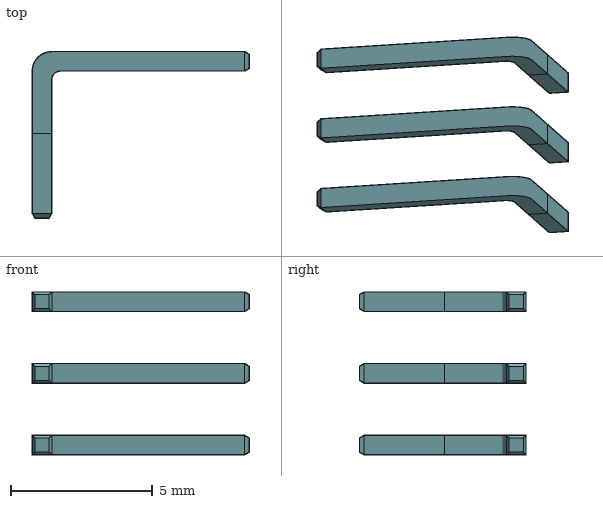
import cadquery as cq
import math

PIN_COUNT = 3
PITCH = 2.54
PIN_WIDTH = 0.7

REACH_X = 7.7
REACH_Y = 5.91
BENT_LEG_Y = 2.9

OUTER_RADIUS = 0.7
INNER_RADIUS = 0.3

TAPER_INSET = 0.1
TAPER_ANGLE = 30
TAPER_LENGTH = TAPER_INSET / math.tan(math.radians(TAPER_ANGLE))

LONG_ARM_X = REACH_X - TAPER_LENGTH
TIP_BAR_LENGTH = REACH_Y - BENT_LEG_Y - TAPER_LENGTH


def add_tapered_end(pin, end_face):
    """Continue a pin's square end face as a short truncated pyramid."""
    return (
        pin.faces(end_face)
        .workplane(centerOption="CenterOfMass")
        .rect(PIN_WIDTH, PIN_WIDTH)
        .extrude(TAPER_LENGTH, taper=TAPER_ANGLE)
    )


def round_corner(leg, x, y, radius):
    """Fillet the vertical edge of the leg that stands at (x, y)."""
    mid_height = leg.val().Center().z
    corner = cq.selectors.NearestToPointSelector((x, y, mid_height))
    return leg.edges(corner).fillet(radius)


def make_bent_leg(z_bottom):
    """L-shaped leg: outer corner on the Z axis, long arm along +X, short arm along -Y."""
    leg = (
        cq.Workplane("XY", origin=(0, 0, z_bottom))
        .polyline([
            (0, 0),
            (LONG_ARM_X, 0),
            (LONG_ARM_X, -PIN_WIDTH),
            (PIN_WIDTH, -PIN_WIDTH),
            (PIN_WIDTH, -BENT_LEG_Y),
            (0, -BENT_LEG_Y),
        ])
        .close()
        .extrude(PIN_WIDTH)
    )
    leg = round_corner(leg, 0, 0, OUTER_RADIUS)
    leg = round_corner(leg, PIN_WIDTH, -PIN_WIDTH, INNER_RADIUS)
    return add_tapered_end(leg, ">X")


def make_tip(z_bottom):
    """Straight bar that carries the short arm on along -Y."""
    tip = (
        cq.Workplane("XY", origin=(0, -BENT_LEG_Y - TIP_BAR_LENGTH, z_bottom))
        .box(PIN_WIDTH, TIP_BAR_LENGTH, PIN_WIDTH, centered=False)
    )
    return add_tapered_end(tip, "<Y")


bodies = []
for index in range(PIN_COUNT):
    pin_bottom = index * PITCH
    bodies.append(make_bent_leg(pin_bottom).val())
    bodies.append(make_tip(pin_bottom).val())

result = cq.Compound.makeCompound(bodies)